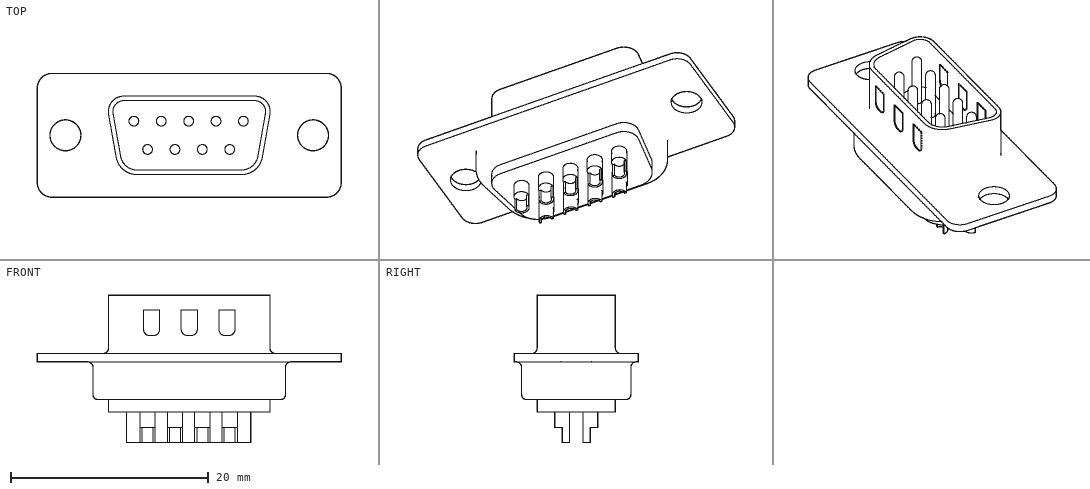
import cadquery as cq
import math


flange_length = 30.73
flange_width = 12.55
flange_thickness = 0.85
flange_corner_radius = 1.5
mount_hole_diameter = 3.1
mount_hole_spacing = 25.0

side_slant_deg = 10.0
shroud_half_width = 3.95
shroud_half_length = 7.77
wide_corner_radius = 1.57
narrow_corner_radius = 2.12

shroud_top = 5.9
shroud_wall = 0.45
shroud_floor = 0.0
insulator_bottom = -5.93
lower_shell_bottom = -4.67
lower_shell_offset = 1.57
shell_fillet = 0.52

selection_margin = 0.03

recess_count = 3
recess_pitch = 3.8
recess_width = 1.63
recess_top = 4.4
recess_bottom = 1.8
recess_corner_radius = 0.6
recess_depth = 0.1

contact_pitch = 2.77
contact_row_spacing = 2.85
contact_shift = -0.05
wide_row_count = 5
narrow_row_count = 4
pin_radius = 0.5
pin_top = 5.38
tail_radius = 0.77
tail_bottom = -9.0
cup_top = -7.5
cup_bore_radius = 0.55


def d_prism(offset, bottom, top):
    """Prism of the D outline, grown outward by offset, between two heights."""
    slope = math.tan(math.radians(side_slant_deg))
    half_width = shroud_half_width + offset
    middle = shroud_half_length + offset / math.cos(math.radians(side_slant_deg))
    wide = middle + half_width * slope
    narrow = middle - half_width * slope
    outline = [(-wide, half_width), (wide, half_width), (narrow, -half_width), (-narrow, -half_width)]
    prism = cq.Workplane("XY").workplane(offset=bottom).polyline(outline).close().extrude(top - bottom)
    prism = prism.edges("|Z and >Y").fillet(wide_corner_radius + offset)
    return prism.edges("|Z and <Y").fillet(narrow_corner_radius + offset)


def cylinder(x, y, radius, bottom, top):
    return cq.Workplane("XY", origin=(x, y, bottom)).circle(radius).extrude(top - bottom)


def row_positions(count, pitch):
    return [(i - (count - 1) / 2) * pitch for i in range(count)]


def root_selector(height):
    """Selects the edges lying at one height inside the rim of the flange."""
    half_x = flange_length / 2 - flange_corner_radius
    half_y = flange_width / 2 - selection_margin
    return cq.selectors.BoxSelector(
        (-half_x, -half_y, height - selection_margin), (half_x, half_y, height + selection_margin)
    )


def shell():
    """Flange with the solid shroud block above and the lower shell below, both with filleted roots."""
    flange = (
        cq.Workplane("XY")
        .box(flange_length, flange_width, flange_thickness, centered=(True, True, False))
        .translate((0, 0, -flange_thickness))
        .edges("|Z")
        .fillet(flange_corner_radius)
    )
    lower = d_prism(lower_shell_offset, lower_shell_bottom, -flange_thickness)
    lower = lower.faces("<Z").edges().fillet(shell_fillet)
    body = flange.union(lower).union(d_prism(0, 0, shroud_top))
    body = body.edges(root_selector(0)).fillet(shell_fillet)
    body = body.edges(root_selector(-flange_thickness)).fillet(shell_fillet)
    return (
        body.faces(">Z")
        .workplane(origin=(0, 0, 0))
        .pushPoints([(-mount_hole_spacing / 2, 0), (mount_hole_spacing / 2, 0)])
        .circle(mount_hole_diameter / 2)
        .cutThruAll()
    )


def recess_cutter(x, wall_face_y):
    """U-shaped block reaching recess_depth from wall_face_y toward +Y."""
    height = recess_top - recess_bottom
    return (
        cq.Workplane("XY")
        .box(recess_width, recess_depth, height, centered=(True, False, False))
        .edges("|Y and <Z")
        .fillet(recess_corner_radius)
        .translate((x, wall_face_y, recess_bottom))
    )


def contact(x, y):
    """Round-ended pin above the shroud floor, and solder-cup tail below the insulator."""
    dome_center = pin_top - pin_radius
    pin = cylinder(x, y, pin_radius, shroud_floor, dome_center)
    pin = pin.union(cq.Workplane("XY", origin=(x, y, dome_center)).sphere(pin_radius))
    tail = cylinder(x, y, tail_radius, tail_bottom, insulator_bottom)
    bore = cylinder(x, y, cup_bore_radius, tail_bottom, cup_top)
    outward = math.copysign(1, y)
    open_side = cq.Workplane("XY").box(
        2 * tail_radius, tail_radius, cup_top - tail_bottom, centered=(True, True, False)
    )
    open_side = open_side.translate((x, y + outward * tail_radius / 2, tail_bottom))
    return pin, tail.cut(bore).cut(open_side)


result = shell().union(d_prism(0, insulator_bottom, -flange_thickness))
result = result.cut(d_prism(-shroud_wall, shroud_floor, shroud_top))

for recess_x in row_positions(recess_count, recess_pitch):
    result = result.cut(recess_cutter(recess_x, -shroud_half_width))
    result = result.cut(recess_cutter(recess_x, shroud_half_width - shroud_wall))

contact_rows = (
    (wide_row_count, contact_row_spacing / 2),
    (narrow_row_count, -contact_row_spacing / 2),
)
for count, row_y in contact_rows:
    for row_x in row_positions(count, contact_pitch):
        for piece in contact(row_x + contact_shift, row_y):
            result = result.union(piece)